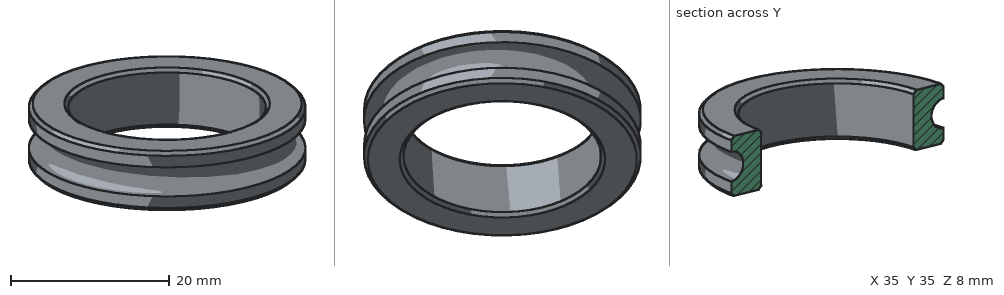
import cadquery as cq

outer_diameter = 35.0
bore_diameter = 25.0
height = 8.0
edge_chamfer = 0.5
groove_radius = 1.95

ring = (
    cq.Workplane("XY")
    .circle(outer_diameter / 2)
    .circle(bore_diameter / 2)
    .extrude(height)
    .edges("%CIRCLE")
    .chamfer(edge_chamfer)
)

groove = cq.Workplane(
    cq.Solid.makeTorus(outer_diameter / 2, groove_radius, cq.Vector(0, 0, height / 2))
)

result = ring.cut(groove)